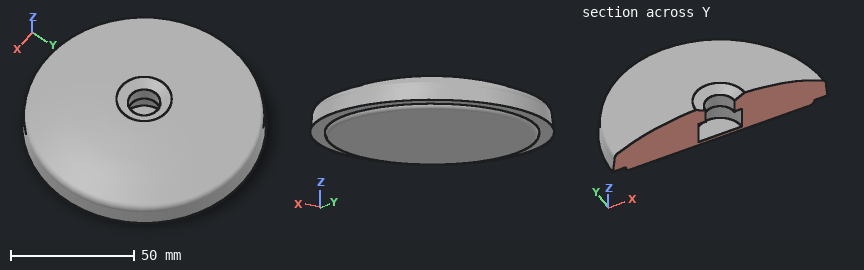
import cadquery as cq

base_radius = 49.5
height = 19.9

foot_radius = 43.5
foot_height = 2.1
foot_fillet = 2.0

wall_top_radius = 48.7
wall_top_z = 8.4
shoulder_bend_radius = 48.3
shoulder_bend_z = 10.4
shoulder_radius = 46.6
shoulder_z = 11.7

dome_mid_radius = 34.65
dome_mid_z = 16.2
crown_radius = 21.9
crown_z = 18.8
crown_mid_radius = 16.3
crown_mid_z = 19.6

sink_radius = 11.2
bore_radius = 6.5
sink_depth = 2.4
bore_depth = 6.1
cavity_radius = 9.9
cavity_floor_z = foot_height


def disc_profile():
    """Half section of the solid disc in the XZ plane."""
    return (
        cq.Workplane("XZ")
        .lineTo(foot_radius, 0)
        .lineTo(foot_radius, foot_height)
        .lineTo(base_radius, foot_height)
        .lineTo(wall_top_radius, wall_top_z)
        .threePointArc((shoulder_bend_radius, shoulder_bend_z), (shoulder_radius, shoulder_z))
        .threePointArc((dome_mid_radius, dome_mid_z), (crown_radius, crown_z))
        .threePointArc((crown_mid_radius, crown_mid_z), (sink_radius, height))
        .lineTo(0, height)
        .close()
    )


def hole_profile():
    """Half section of the countersink, the bore and the closed cavity below it."""
    sink_floor_z = height - sink_depth
    cavity_top_z = sink_floor_z - bore_depth
    return (
        cq.Workplane("XZ")
        .moveTo(0, height)
        .lineTo(sink_radius, height)
        .lineTo(bore_radius, sink_floor_z)
        .lineTo(bore_radius, cavity_top_z)
        .lineTo(cavity_radius, cavity_top_z)
        .lineTo(cavity_radius, cavity_floor_z)
        .lineTo(0, cavity_floor_z)
        .close()
    )


def revolve_about_z(profile):
    return profile.revolve(360, (0, 0, 0), (0, 1, 0))


disc = revolve_about_z(disc_profile()).faces("<Z").edges().fillet(foot_fillet)
result = disc.cut(revolve_about_z(hole_profile()))